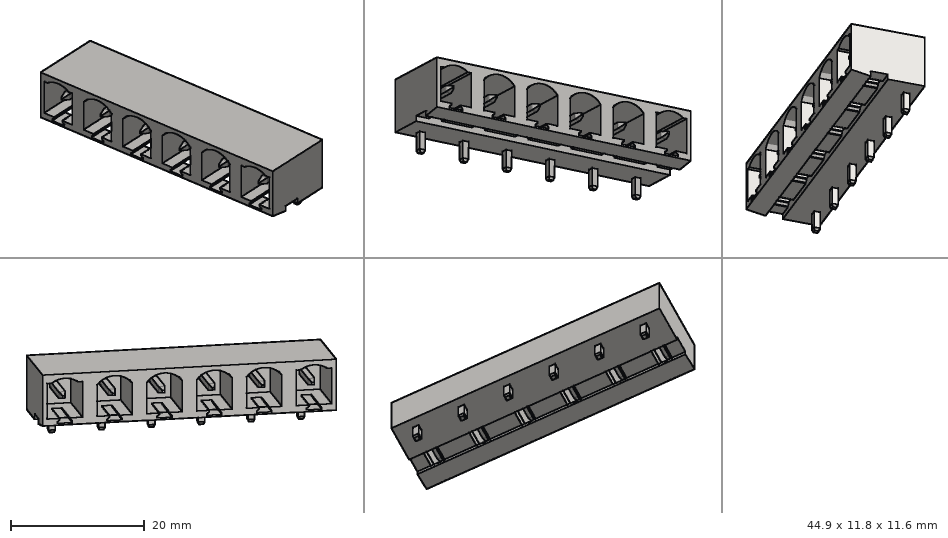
import cadquery as cq


positions = 6
pitch = 7.62
end_margin = 3.4
first_x = -(positions - 1) * pitch / 2
pin_xs = [first_x + i * pitch for i in range(positions)]

length = (positions - 1) * pitch + 2 * end_margin
depth = 11.75
height = 8.4
notch_front = 3.1
notch_back = 5.85
notch_height = 0.85
front_lift = 0.5

cavity_width = 5.4
cavity_floor = 1.55
cavity_depth = 8.6
roof_radius = 3.4
roof_top = 7.72
roof_center_height = roof_top - roof_radius
shoulder_height = 7.05

groove_bottom = 0.8
groove_bottom_width = 2.3
groove_top_width = 1.55
groove_foot = 0.2
groove_flank_rise = (groove_bottom_width - groove_top_width) / 2

pin_size = 1.0
axis_height = 4.6
pin_y = depth - 1.83
pin_drop = 3.2
contact_tip_y = 0.9
contact_tip_length = 1.3
contact_tip_size = 0.35
solder_tip_length = 0.45
solder_tip_size = 0.65


def make_housing_block():
    """Outer block: sloped at the front of the underside, notched behind the slope."""
    profile = [
        (0, front_lift),
        (notch_front, 0),
        (notch_front, notch_height),
        (notch_back, notch_height),
        (notch_back, 0),
        (depth, 0),
        (depth, height),
        (0, height),
    ]
    return cq.Workplane("YZ").polyline(profile).close().extrude(length / 2, both=True)


def box_from_front(width, bottom, top, y_depth):
    """Box centred on X = 0 that runs back from the mating face."""
    box = cq.Workplane("XY").box(width, y_depth, top - bottom, centered=(True, False, False))
    return box.translate((0, 0, bottom))


def make_cavity(has_shoulders):
    """Round-topped cavity with straight sides, plus a dovetail groove in its floor."""
    walls = box_from_front(cavity_width, cavity_floor, height, cavity_depth)
    roof = cq.Workplane("XZ", origin=(0, 0, roof_center_height)).circle(roof_radius).extrude(-cavity_depth)
    lower = box_from_front(cavity_width, cavity_floor, roof_center_height, cavity_depth)
    cavity = walls.intersect(roof).union(lower)
    if has_shoulders:
        cavity = cavity.union(box_from_front(cavity_width, cavity_floor, shoulder_height, cavity_depth))
    slope_start = groove_bottom + groove_foot
    slope_end = slope_start + groove_flank_rise
    dovetail = [
        (groove_bottom_width / 2, groove_bottom),
        (groove_bottom_width / 2, slope_start),
        (groove_top_width / 2, slope_end),
        (groove_top_width / 2, cavity_floor),
        (-groove_top_width / 2, cavity_floor),
        (-groove_top_width / 2, slope_end),
        (-groove_bottom_width / 2, slope_start),
        (-groove_bottom_width / 2, groove_bottom),
    ]
    groove = cq.Workplane("XZ").polyline(dovetail).close().extrude(-notch_back)
    return cavity.union(groove)


def make_tapered_tip(plane, tip_size, tip_length):
    """Square pyramid frustum that narrows from the pin section along the plane normal."""
    return (
        cq.Workplane(plane)
        .rect(pin_size, pin_size)
        .workplane(offset=tip_length)
        .rect(tip_size, tip_size)
        .loft(ruled=True)
    )


def make_pin():
    """L-shaped square pin: a contact leg along Y and a solder leg down Z, both tapered."""
    half = pin_size / 2
    contact_base_y = contact_tip_y + contact_tip_length
    solder_base_z = -pin_drop + solder_tip_length
    outline = [
        (contact_base_y, axis_height - half),
        (pin_y - half, axis_height - half),
        (pin_y - half, solder_base_z),
        (pin_y + half, solder_base_z),
        (pin_y + half, axis_height + half),
        (contact_base_y, axis_height + half),
    ]
    legs = cq.Workplane("YZ").polyline(outline).close().extrude(half, both=True)
    contact_plane = cq.Plane((0, contact_base_y, axis_height), (1, 0, 0), (0, -1, 0))
    solder_plane = cq.Plane((0, pin_y, solder_base_z), (1, 0, 0), (0, 0, -1))
    contact_tip = make_tapered_tip(contact_plane, contact_tip_size, contact_tip_length)
    solder_tip = make_tapered_tip(solder_plane, solder_tip_size, solder_tip_length)
    return legs.union(contact_tip).union(solder_tip)


pin = make_pin()
pins = [pin.translate((x, 0, 0)) for x in pin_xs]

housing = make_housing_block()
for x, placed_pin in zip(pin_xs, pins):
    is_end = x in (pin_xs[0], pin_xs[-1])
    housing = housing.cut(make_cavity(is_end).translate((x, 0, 0)))
    housing = housing.cut(placed_pin)

result = cq.Compound.makeCompound([housing.val()] + [placed_pin.val() for placed_pin in pins])